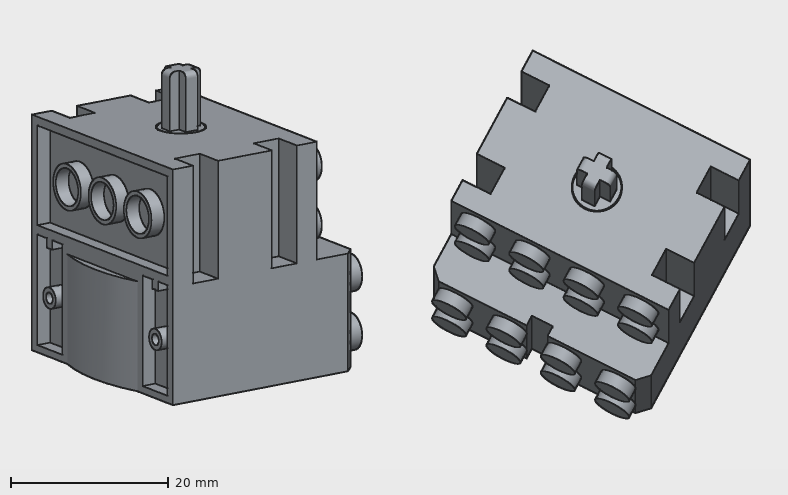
import cadquery as cq

PITCH = 7.8
WIDTH = 4 * PITCH
HEIGHT = 4 * PITCH
STEP_HEIGHT = 2 * PITCH
UPPER_LENGTH = 22.42
LOWER_LENGTH = 28.7
BACK_CHAMFER = 1.5
BACK_NOTCH_WIDTH = 3.0
BACK_NOTCH_DEPTH = 1.45

STUD_DIAMETER = 4.9
STUD_HEIGHT = 1.8

SIDE_GROOVE_WIDTH = 3.9
SIDE_GROOVE_DEPTH = 4.0
SIDE_GROOVE_MARGIN = 3.12

WALL = 1.25
TOP_WALL = 1.17
BOTTOM_WALL = 0.98
POCKET_DEPTH = 2.0
LOWER_POCKET_WIDTH = 5.45
TUBE_DIAMETER = 6.12
TUBE_BORE = 4.95
BOSS_X = 1.5 * PITCH
BOSS_DIAMETER = 2.8
BOSS_BORE = 1.5
BULGE_WIDTH = 15.45
BULGE_HEIGHT = 14.55
BULGE_DEPTH = 1.2

SHAFT_Y = 12.25
SHAFT_LENGTH = 7.8
SHAFT_WIDTH = 4.75
SHAFT_ARM = 1.85
SHAFT_TIP_RADIUS = 0.78
COLLAR_DIAMETER = 6.45
COLLAR_GAP = 0.1
COLLAR_GAP_DEPTH = 0.2


def box(x_min, x_max, y_min, y_max, z_min, z_max):
    """Box given by its limits along each axis."""
    size = (x_max - x_min, y_max - y_min, z_max - z_min)
    return cq.Workplane("XY").box(*size, centered=False).translate((x_min, y_min, z_min))


def front_cylinders(points, diameter, y_start, y_end):
    """Cylinders along Y at the given (x, z) centres."""
    plane = cq.Workplane("XZ", origin=(0, y_start, 0))
    return plane.pushPoints(points).circle(diameter / 2).extrude(y_start - y_end)


def make_body():
    half = WIDTH / 2
    lower = box(-half, half, 0, LOWER_LENGTH, 0, STEP_HEIGHT)
    lower = lower.faces(">Y").edges("|Z").chamfer(BACK_CHAMFER)
    notch_start = LOWER_LENGTH - BACK_NOTCH_DEPTH
    notch_half = BACK_NOTCH_WIDTH / 2
    lower = lower.cut(box(-notch_half, notch_half, notch_start, LOWER_LENGTH, 0, STEP_HEIGHT))
    upper = box(-half, half, 0, UPPER_LENGTH, STEP_HEIGHT, HEIGHT)
    return lower.union(upper)


def make_side_grooves():
    near_start = SIDE_GROOVE_MARGIN
    far_start = UPPER_LENGTH - SIDE_GROOVE_MARGIN - SIDE_GROOVE_WIDTH
    inner_x = WIDTH / 2 - SIDE_GROOVE_DEPTH
    grooves = cq.Workplane("XY")
    for y_start in (near_start, far_start):
        y_end = y_start + SIDE_GROOVE_WIDTH
        groove = box(inner_x, WIDTH / 2, y_start, y_end, STEP_HEIGHT, HEIGHT)
        grooves = grooves.add(groove).add(groove.mirror("YZ"))
    return grooves.combine()


def make_studs():
    columns = [(column - 1.5) * PITCH for column in range(4)]
    lower_points = [(x, (row + 0.5) * PITCH) for x in columns for row in (0, 1)]
    upper_points = [(x, (row + 0.5) * PITCH) for x in columns for row in (2, 3)]
    lower = front_cylinders(lower_points, STUD_DIAMETER, LOWER_LENGTH, LOWER_LENGTH + STUD_HEIGHT)
    upper = front_cylinders(upper_points, STUD_DIAMETER, UPPER_LENGTH, UPPER_LENGTH + STUD_HEIGHT)
    return lower.add(upper).combine()


def make_upper_pocket():
    outer_x = WIDTH / 2 - WALL
    pocket = box(-outer_x, outer_x, 0, POCKET_DEPTH, STEP_HEIGHT + WALL, HEIGHT - TOP_WALL)
    centres = [(x, 3 * PITCH) for x in (-PITCH, 0, PITCH)]
    tubes = front_cylinders(centres, TUBE_DIAMETER, 0, POCKET_DEPTH)
    bores = front_cylinders(centres, TUBE_BORE, 0, POCKET_DEPTH)
    return pocket.cut(tubes).union(bores)


def make_lower_pocket():
    """Pocket on the +X side, leaving a key at its top and a bored boss."""
    outer_x = WIDTH / 2 - WALL
    pocket = box(outer_x - LOWER_POCKET_WIDTH, outer_x, 0, POCKET_DEPTH, BOTTOM_WALL, STEP_HEIGHT)
    half_key = WALL / 2
    key = box(BOSS_X - half_key, BOSS_X + half_key, 0, POCKET_DEPTH, STEP_HEIGHT - WALL, STEP_HEIGHT)
    boss = front_cylinders([(BOSS_X, PITCH)], BOSS_DIAMETER, 0, POCKET_DEPTH)
    bore = front_cylinders([(BOSS_X, PITCH)], BOSS_BORE, 0, POCKET_DEPTH)
    return pocket.cut(key).cut(boss).union(bore)


def make_bulge():
    """Shallow arched cover between the lower pockets."""
    half = BULGE_WIDTH / 2
    outline = cq.Workplane("XY").moveTo(-half, 0).threePointArc((0, -BULGE_DEPTH), (half, 0)).close()
    return outline.extrude(BULGE_HEIGHT)


def make_shaft():
    """Cross-shaped shaft with the outer ends of its arms rounded at the tip."""
    base = cq.Workplane("XY", origin=(0, SHAFT_Y, HEIGHT))
    arm_x = base.rect(SHAFT_WIDTH, SHAFT_ARM).extrude(SHAFT_LENGTH)
    arm_y = base.rect(SHAFT_ARM, SHAFT_WIDTH).extrude(SHAFT_LENGTH)
    arm_x = arm_x.faces(">Z").edges("|Y").fillet(SHAFT_TIP_RADIUS)
    arm_y = arm_y.faces(">Z").edges("|X").fillet(SHAFT_TIP_RADIUS)
    return arm_x.union(arm_y)


def make_collar_gap():
    """Thin ring-shaped gap around the foot of the shaft."""
    top = cq.Workplane("XY", origin=(0, SHAFT_Y, HEIGHT))
    ring = top.circle(COLLAR_DIAMETER / 2).circle(COLLAR_DIAMETER / 2 - COLLAR_GAP)
    return ring.extrude(-COLLAR_GAP_DEPTH)


lower_pocket = make_lower_pocket()
result = (
    make_body()
    .cut(make_side_grooves())
    .cut(make_upper_pocket())
    .cut(lower_pocket)
    .cut(lower_pocket.mirror("YZ"))
    .cut(make_collar_gap())
    .union(make_studs())
    .union(make_bulge())
    .union(make_shaft())
)